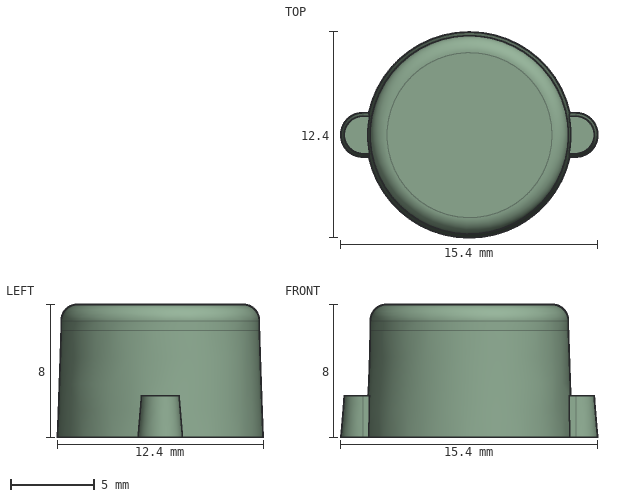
import cadquery as cq
import math

height = 8.0
base_radius = 6.184
shoulder_radius = 5.96
band_height = 6.44
shoulder_height = 7.01
top_flat_radius = 4.95

overall_length = 15.44
lug_height = 2.52
lug_base_radius = 1.335
lug_top_radius = 1.13
lug_center = overall_length / 2 - lug_base_radius


def make_body():
    rim_width = shoulder_radius - top_flat_radius
    rim_height = height - shoulder_height
    rim_middle = (
        top_flat_radius + rim_width * math.cos(math.pi / 4),
        shoulder_height + rim_height * math.sin(math.pi / 4),
    )
    return (
        cq.Workplane("XZ")
        .lineTo(base_radius, 0)
        .lineTo(shoulder_radius, band_height)
        .lineTo(shoulder_radius, shoulder_height)
        .threePointArc(rim_middle, (top_flat_radius, height))
        .lineTo(0, height)
        .close()
        .revolve(360, (0, 0), (0, 1))
    )


def lug_outline(plane, radius):
    """Slot running through the body, with its round ends on the lug centers."""
    return plane.slot2D(2 * (lug_center + radius), 2 * radius)


def make_lugs():
    base = lug_outline(cq.Workplane("XY"), lug_base_radius)
    return lug_outline(base.workplane(offset=lug_height), lug_top_radius).loft(ruled=True)


result = make_body().union(make_lugs())